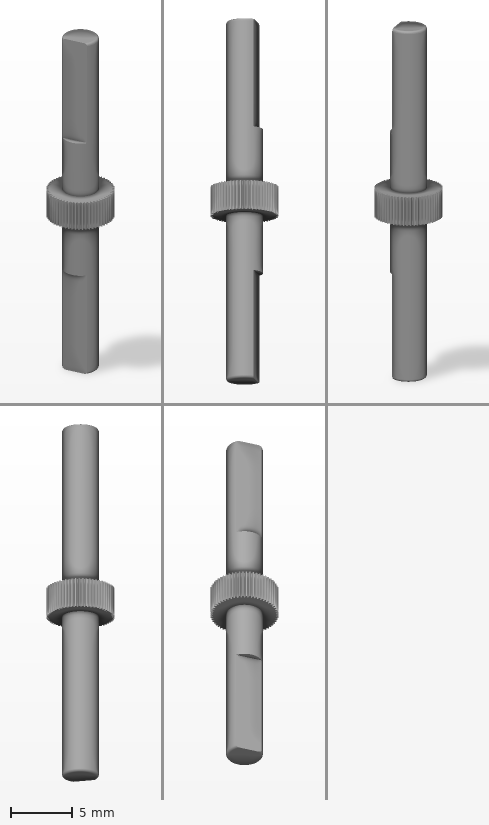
import cadquery as cq
import math

SHAFT_LENGTH = 30.0
SHAFT_DIAMETER = 3.0
SHAFT_RADIUS = SHAFT_DIAMETER / 2
END_FILLET = 0.2
FLAT_LENGTH = 9.0
FLAT_DEPTH = SHAFT_DIAMETER / 6

TIP_DIAMETER = 5.58
TOOTH_DEPTH = 0.2
TOOTH_COUNT = 60
TIP_SHARE = 0.25
ROOT_SHARE = 0.2
WHEEL_WIDTH = 2.4


def flat_cutter(center_z):
    """Block that cuts a flat into the -Y side of the shaft."""
    return (
        cq.Workplane("XY")
        .box(SHAFT_DIAMETER, FLAT_DEPTH, FLAT_LENGTH)
        .translate((0, FLAT_DEPTH / 2 - SHAFT_RADIUS, center_z))
    )


def make_shaft():
    """Round shaft with rounded end rims and a flat on the -Y side of each end."""
    shaft = (
        cq.Workplane("XY")
        .circle(SHAFT_RADIUS)
        .extrude(SHAFT_LENGTH / 2, both=True)
        .faces("<Z or >Z")
        .edges()
        .fillet(END_FILLET)
    )
    flat_center = (SHAFT_LENGTH - FLAT_LENGTH) / 2
    for center_z in (-flat_center, flat_center):
        shaft = shaft.cut(flat_cutter(center_z))
    return shaft


def polar(radius, angle):
    """Point in the XY plane at a radius and an angle in radians."""
    return (radius * math.cos(angle), radius * math.sin(angle))


def make_wheel():
    """Wheel with straight teeth, centred on the shaft and bored to fit it."""
    tip_radius = TIP_DIAMETER / 2
    root_radius = tip_radius - TOOTH_DEPTH
    pitch = 2 * math.pi / TOOTH_COUNT
    half_tip = TIP_SHARE * pitch / 2
    half_base = (1 - ROOT_SHARE) * pitch / 2

    outline = []
    for tooth in range(TOOTH_COUNT):
        middle = tooth * pitch
        outline += [
            polar(root_radius, middle - half_base),
            polar(tip_radius, middle - half_tip),
            polar(tip_radius, middle + half_tip),
            polar(root_radius, middle + half_base),
        ]
    return (
        cq.Workplane("XY")
        .polyline(outline)
        .close()
        .circle(SHAFT_RADIUS)
        .extrude(WHEEL_WIDTH / 2, both=True)
    )


shaft = make_shaft()
wheel = make_wheel()

result = cq.Compound.makeCompound([shaft.val(), wheel.val()])